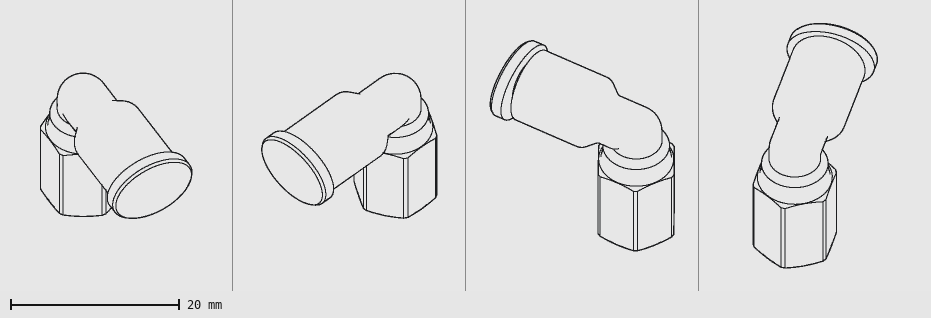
import cadquery as cq
import math


HEX_FLATS = 9.0
HEX_CORNER_RADIUS = 5.05
HEX_HEIGHT = 10.79
HEX_BEVEL_RADIUS = 4.45
HEX_BEVEL_HEIGHT = 0.25

FOOT_FLARE = 0.27
FOOT_RADIUS = HEX_BEVEL_RADIUS - FOOT_FLARE
COLLAR_RADIUS = 3.96
TAPER_TOP = 12.12
COLLAR_TOP = 13.15

ELBOW_RADIUS = 3.08
SHOULDER_TOP = COLLAR_TOP + COLLAR_RADIUS - ELBOW_RADIUS
TOTAL_HEIGHT = 20.1
BODY_RADIUS = 4.5
BRANCH_AXIS = TOTAL_HEIGHT - BODY_RADIUS

TOTAL_LENGTH = 22.15
FLANGE_END = TOTAL_LENGTH - HEX_CORNER_RADIUS
FLANGE_START = 15.45
BODY_END = 14.66
FLARE_START = 3.68
FLARE_END = 6.14
FLARE_BLEND = 1.0
BODY_EDGE_ROUND = 0.09
NECK_RADIUS = 2.75

FLANGE_WIDTH = 10.8
FLANGE_HEIGHT = 8.6
FLANGE_CHAMFER_DEPTH = 0.25
FLANGE_CHAMFER_LENGTH = 0.33


def make_hex():
    """Hexagonal prism with a corner on the X axis, turned and bevelled at both ends."""
    across_corners = HEX_FLATS / math.cos(math.radians(30))
    prism = cq.Workplane("XY").polygon(6, across_corners).extrude(HEX_HEIGHT)
    turned = (
        cq.Workplane("XZ")
        .moveTo(0, 0)
        .lineTo(HEX_BEVEL_RADIUS, 0)
        .lineTo(HEX_CORNER_RADIUS, HEX_BEVEL_HEIGHT)
        .lineTo(HEX_CORNER_RADIUS, HEX_HEIGHT - HEX_BEVEL_HEIGHT)
        .lineTo(HEX_BEVEL_RADIUS, HEX_HEIGHT)
        .lineTo(0, HEX_HEIGHT)
        .close()
        .revolve(360, (0, 0, 0), (0, 1, 0))
    )
    return prism.intersect(turned)


def make_collar():
    """Turned collar, shoulder and upright tube, closed by the elbow's ball."""
    return (
        cq.Workplane("XZ")
        .moveTo(0, HEX_HEIGHT)
        .lineTo(HEX_BEVEL_RADIUS, HEX_HEIGHT)
        .radiusArc((FOOT_RADIUS, HEX_HEIGHT + FOOT_FLARE), FOOT_FLARE)
        .lineTo(COLLAR_RADIUS, TAPER_TOP)
        .lineTo(COLLAR_RADIUS, COLLAR_TOP)
        .lineTo(ELBOW_RADIUS, SHOULDER_TOP)
        .lineTo(ELBOW_RADIUS, BRANCH_AXIS)
        .radiusArc((0, BRANCH_AXIS + ELBOW_RADIUS), -ELBOW_RADIUS)
        .close()
        .revolve(360, (0, 0, 0), (0, 1, 0))
    )


def make_branch():
    """Horizontal tube, flared up to the body, then stepped down to the neck."""
    run = FLARE_END - FLARE_START
    centre_rise = ELBOW_RADIUS + 2 * FLARE_BLEND - BODY_RADIUS
    tangent_tilt = math.asin(2 * FLARE_BLEND / math.hypot(run, centre_rise))
    flare_angle = tangent_tilt - math.atan2(centre_rise, run)
    arc_run = FLARE_BLEND * math.sin(flare_angle)
    arc_rise = FLARE_BLEND * (1 - math.cos(flare_angle))
    return (
        cq.Workplane("XZ", origin=(0, 0, BRANCH_AXIS))
        .moveTo(0, 0)
        .lineTo(0, ELBOW_RADIUS)
        .lineTo(FLARE_START, ELBOW_RADIUS)
        .radiusArc((FLARE_START + arc_run, ELBOW_RADIUS + arc_rise), -FLARE_BLEND)
        .lineTo(FLARE_END - arc_run, BODY_RADIUS - arc_rise)
        .radiusArc((FLARE_END, BODY_RADIUS), FLARE_BLEND)
        .lineTo(BODY_END - BODY_EDGE_ROUND, BODY_RADIUS)
        .radiusArc((BODY_END, BODY_RADIUS - BODY_EDGE_ROUND), BODY_EDGE_ROUND)
        .lineTo(BODY_END, NECK_RADIUS)
        .lineTo(FLANGE_START, NECK_RADIUS)
        .lineTo(FLANGE_START, 0)
        .close()
        .revolve(360, (0, 0, 0), (1, 0, 0))
    )


def make_flange():
    """Elliptical release flange with a chamfered outer rim."""
    flange = (
        cq.Workplane("YZ", origin=(FLANGE_START, 0, BRANCH_AXIS))
        .ellipse(FLANGE_WIDTH / 2, FLANGE_HEIGHT / 2)
        .extrude(FLANGE_END - FLANGE_START)
    )
    return flange.faces(">X").chamfer(FLANGE_CHAMFER_LENGTH, FLANGE_CHAMFER_DEPTH)


fitting = make_hex().union(make_collar()).union(make_branch()).union(make_flange())
result = cq.Workplane(fitting.solids().val())